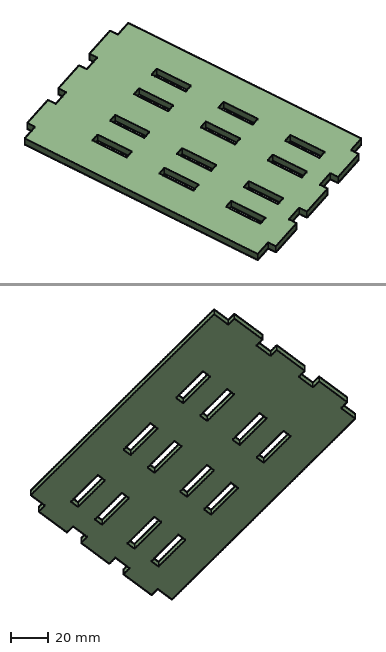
import cadquery as cq

body_length = 150.0
plate_width = 100.0
thickness = 5.0

tab_depth = 5.0
tab_width = 20.0
tab_pitch = 30.0
tab_count = 3

slot_length = 22.0
slot_width = 5.0
slot_column_pitch = 43.0
slot_column_count = 3
slot_middle_column_x = 10.0
slot_inner_row_y = 11.5
slot_outer_row_y = 28.5


def centred_positions(count, pitch):
    """Evenly spaced positions, symmetric about zero."""
    return [(index - (count - 1) / 2) * pitch for index in range(count)]


def make_tabbed_plate():
    """Flat plate with its bottom on Z = 0; each tab bar spans both short ends."""
    plate = cq.Workplane("XY").box(body_length, plate_width, thickness, centered=(True, True, False))
    tab_centres = [(0, y) for y in centred_positions(tab_count, tab_pitch)]
    tab_bars = (
        cq.Workplane("XY")
        .pushPoints(tab_centres)
        .rect(body_length + 2 * tab_depth, tab_width)
        .extrude(thickness)
    )
    return plate.union(tab_bars)


def make_slots():
    """Rectangular prisms that cut the slots through the full thickness."""
    columns = [slot_middle_column_x + x for x in centred_positions(slot_column_count, slot_column_pitch)]
    rows = [-slot_outer_row_y, -slot_inner_row_y, slot_inner_row_y, slot_outer_row_y]
    slot_centres = [(x, y) for x in columns for y in rows]
    return (
        cq.Workplane("XY")
        .pushPoints(slot_centres)
        .rect(slot_length, slot_width)
        .extrude(thickness)
    )


result = make_tabbed_plate().cut(make_slots())